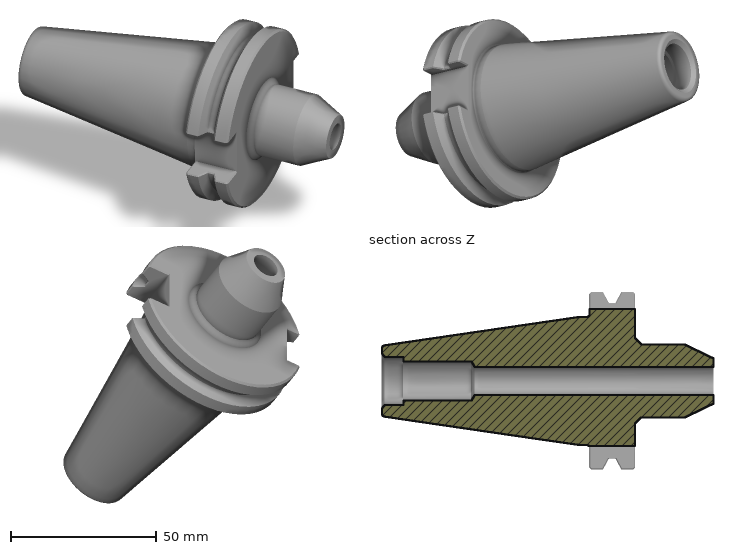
import cadquery as cq
import math

total_length = 114.4
gauge_x = 68.4
flange_start = 71.5
flange_width = 15.9
flange_end = flange_start + flange_width
nose_cone_start = 104.2

gauge_radius = 44.4 / 2
taper_rate = 7 / 24
small_end_radius = gauge_radius - gauge_x * taper_rate / 2
small_end_fillet = 1.4
neck_fillet = 0.7

flange_radius = 31.7
flange_chamfer = 0.7
groove_center = flange_start + flange_width / 2
groove_top_width = 6.3
groove_floor_width = 2.3
groove_floor_radius = 28.1
slot_width = 16.1
slot_edge_chamfer = 0.5
slot_floor_plus_y = 25.0
slot_floor_minus_y = 22.4

nose_radius = 25.4 / 2
nose_tip_radius = 7.8
nose_base_chamfer = 2.0

entry_radius = 9.5
entry_depth = 1.1
counterbore_radius = 16.2 / 2
counterbore_depth = 7.4
thread_bore_radius = 13.4 / 2
thread_bore_depth = 30.9
through_radius = 9.5 / 2
drill_half_angle = math.radians(59)


def revolve_about_x(points):
    """Revolve a closed (x, radius) outline about the X axis."""
    return cq.Workplane("XY").polyline(points).close().revolve(360, (0, 0, 0), (1, 0, 0))


def make_shank():
    shank = revolve_about_x([
        (0, 0),
        (0, small_end_radius),
        (gauge_x, gauge_radius),
        (flange_start, gauge_radius),
        (flange_start, 0),
    ])
    return shank.faces("<X").edges().fillet(small_end_fillet)


def make_neck_flare():
    """Concave fillet ring joining the neck to the flange face."""
    flare_start = flange_start - neck_fillet
    flare_radius = gauge_radius + neck_fillet
    arc_offset = neck_fillet * math.sqrt(0.5)
    arc_middle = (flare_start + arc_offset, flare_radius - arc_offset)
    return (
        cq.Workplane("XY")
        .moveTo(flare_start, 0)
        .lineTo(flare_start, gauge_radius)
        .threePointArc(arc_middle, (flange_start, flare_radius))
        .lineTo(flange_start, 0)
        .close()
        .revolve(360, (0, 0, 0), (1, 0, 0))
    )


def make_nose():
    return revolve_about_x([
        (flange_end, 0),
        (flange_end, nose_radius + nose_base_chamfer),
        (flange_end + nose_base_chamfer, nose_radius),
        (nose_cone_start, nose_radius),
        (total_length, nose_tip_radius),
        (total_length, 0),
    ])


def make_flange_blank():
    rim_radius = flange_radius - flange_chamfer
    return revolve_about_x([
        (flange_start, 0),
        (flange_start, rim_radius),
        (flange_start + flange_chamfer, flange_radius),
        (groove_center - groove_top_width / 2, flange_radius),
        (groove_center - groove_floor_width / 2, groove_floor_radius),
        (groove_center + groove_floor_width / 2, groove_floor_radius),
        (groove_center + groove_top_width / 2, flange_radius),
        (flange_end - flange_chamfer, flange_radius),
        (flange_end, rim_radius),
        (flange_end, 0),
    ])


def make_slot_cutter(side, floor):
    """Box that opens a driving slot on the +Y (side = 1) or -Y (side = -1) flank."""
    start = flange_start - neck_fillet
    depth = flange_radius
    return (
        cq.Workplane("XY")
        .box(flange_end - start, depth, slot_width)
        .translate(((start + flange_end) / 2, side * (floor + depth / 2), 0))
    )


def chamfer_slot_walls(flange):
    """Break the outer edges of the slot walls, leaving the floor corners sharp."""
    wall_edges = []
    for wall in flange.faces("|Z").vals():
        center_y = wall.Center().y
        floor_y = slot_floor_plus_y if center_y > 0 else -slot_floor_minus_y
        for edge in wall.Edges():
            if abs(edge.Center().y - floor_y) > 0.01:
                wall_edges.append(edge)
    return flange.newObject(wall_edges).chamfer(slot_edge_chamfer)


def make_bore():
    drill_tip = (thread_bore_radius - through_radius) / math.tan(drill_half_angle)
    return revolve_about_x([
        (0, 0),
        (0, entry_radius),
        (entry_depth, counterbore_radius),
        (counterbore_depth, counterbore_radius),
        (counterbore_depth, thread_bore_radius),
        (thread_bore_depth, thread_bore_radius),
        (thread_bore_depth + drill_tip, through_radius),
        (total_length, through_radius),
        (total_length, 0),
    ])


flange = make_flange_blank()
flare = make_neck_flare()
for side, floor in ((1, slot_floor_plus_y), (-1, slot_floor_minus_y)):
    slot_cutter = make_slot_cutter(side, floor)
    flange = flange.cut(slot_cutter)
    flare = flare.cut(slot_cutter)
flange = chamfer_slot_walls(flange)

result = make_shank().union(flare).union(flange).union(make_nose()).cut(make_bore())